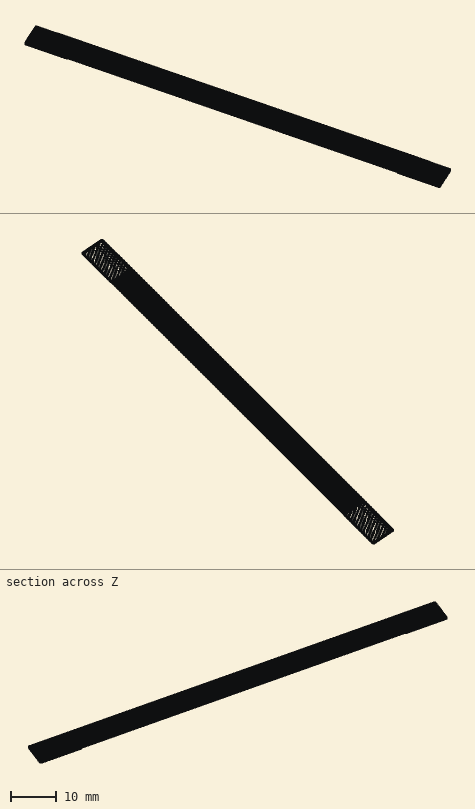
import cadquery as cq

length = 100.0
conductor_count = 10
conductor_pitch = 0.5
conductor_width = 0.3
width = (conductor_count + 1) * conductor_pitch
exposed_length = 5.0
cover_length = length - 2 * exposed_length
stiffener_length = 10.0

stiffener_thickness = 0.2
base_film_thickness = 0.06
conductor_thickness = 0.04
cover_film_thickness = 0.06

base_bottom = stiffener_thickness
conductor_bottom = base_bottom + base_film_thickness
cover_bottom = conductor_bottom + conductor_thickness


def slab(x_length, y_width, thickness, x_center, y_center, bottom):
    """Flat block centred at a point in plan and standing on a given height."""
    block = cq.Workplane("XY").box(x_length, y_width, thickness, centered=(True, True, False))
    return block.translate((x_center, y_center, bottom))


result = slab(length, width, base_film_thickness, 0, 0, base_bottom)
cover = slab(cover_length, width, cover_film_thickness, 0, 0, cover_bottom)

for index in range(conductor_count):
    y = (index - (conductor_count - 1) / 2) * conductor_pitch
    result = result.union(slab(length, conductor_width, conductor_thickness, 0, y, conductor_bottom))
result = result.union(cover)

for side in (-1, 1):
    x = side * (length - stiffener_length) / 2
    result = result.union(slab(stiffener_length, width, stiffener_thickness, x, 0, 0))